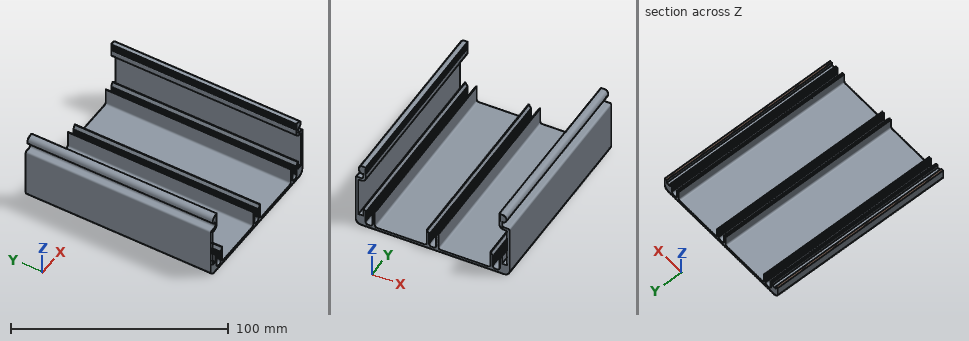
import cadquery as cq
import math

length = 100.0
width = 80.0
height = 35.7

wall = 1.5
corner_radius = 3.0
corner_block_top = 6.0

channel_offset = 33.0
channel_gap = 3.2
rib_top = 10.5
rib_bevel_bottom = 8.5
rib_bevel_angle = 60.0
rib_root_radius = 1.0
rib_groove_count = 6

shoulder_top = 28.4
shoulder_outer_radius = 1.0
shoulder_inner_radius = 0.6
neck_outer_radius = 1.0
bead_radius = 2.3
bead_groove_bottom = 31.0
bead_groove_count = 4

groove_pitch = 1.0
groove_depth = 0.4
groove_arc_width = groove_pitch / 2
groove_arc_height = groove_depth / 2
groove_arc_radius = (groove_arc_width**2 / 4 + groove_arc_height**2) / (2 * groove_arc_height)
groove_arc_half_angle = math.asin(groove_arc_width / 2 / groove_arc_radius)

channel_centers = (-channel_offset, 0, channel_offset)
rib_spread = channel_gap + 2 * wall
rib_bevel_run = (rib_top - rib_bevel_bottom) / math.tan(math.radians(rib_bevel_angle))
rib_groove_bottom = wall + rib_root_radius
inner_wall_x = width / 2 - wall
neck_outer_x = channel_offset + rib_spread / 2
neck_inner_x = neck_outer_x - wall
neck_inner_radius = neck_outer_radius + wall
shoulder_bottom = shoulder_top - wall
bead_center_z = height - bead_radius


def extrude_profile(outline):
    """Close an XZ outline and extrude it along the full length, centred on Y = 0."""
    return outline.close().extrude(length / 2, both=True)


def bar(x_min, x_max, z_min, z_max):
    """Full-length bar with a rectangular section."""
    outline = cq.Workplane("XZ").polyline([(x_min, z_min), (x_max, z_min), (x_max, z_max), (x_min, z_max)])
    return extrude_profile(outline)


def fillet_at(solid, x, z, radius):
    """Round the lengthwise edge that passes through the point (x, z)."""
    reach = 0.01
    selector = cq.selectors.BoxSelector(
        (x - reach, -length, z - reach), (x + reach, length, z + reach)
    )
    return solid.edges(selector).fillet(radius)


def wavy_grooves(face_x, bottom_z, count, inward):
    """Cutter for a stack of grooves in an upright face; `inward` is the X direction into the material."""
    outside_x = face_x - inward * groove_depth
    middle_x = face_x + inward * groove_arc_height
    root_x = face_x + inward * groove_depth
    crest_angle = groove_arc_half_angle / 2
    crest_x = face_x + inward * groove_arc_radius * (1 - math.cos(crest_angle))
    crest_rise = groove_arc_radius * math.sin(crest_angle)

    outline = cq.Workplane("XZ").moveTo(outside_x, bottom_z).lineTo(face_x, bottom_z)
    for index in range(count):
        start_z = bottom_z + index * groove_pitch
        end_z = start_z + groove_pitch
        root_start_z = start_z + groove_arc_width / 2
        root_end_z = end_z - groove_arc_width / 2
        outline = (
            outline.threePointArc((crest_x, start_z + crest_rise), (middle_x, root_start_z))
            .threePointArc((root_x, start_z + groove_pitch / 2), (middle_x, root_end_z))
            .threePointArc((crest_x, end_z - crest_rise), (face_x, end_z))
        )
    return extrude_profile(outline.lineTo(outside_x, bottom_z + count * groove_pitch))


def rib(center_x, side):
    """One rib of a screw channel, beveled at its tip toward the channel."""
    outer_x = center_x + side * rib_spread / 2
    inner_x = center_x + side * channel_gap / 2
    outline = cq.Workplane("XZ").polyline(
        [
            (outer_x, 0),
            (outer_x, rib_top),
            (inner_x + side * rib_bevel_run, rib_top),
            (inner_x, rib_bevel_bottom),
            (inner_x, 0),
        ]
    )
    return extrude_profile(outline)


def side_wall():
    """Right wall with its stepped shoulder and neck."""
    upright = bar(inner_wall_x, width / 2, 0, shoulder_top)
    shoulder = bar(neck_inner_x, width / 2, shoulder_bottom, shoulder_top)
    neck = bar(neck_inner_x, neck_outer_x, shoulder_bottom, bead_center_z)
    solid = upright.union(shoulder).union(neck)
    solid = fillet_at(solid, width / 2, shoulder_top, shoulder_outer_radius)
    solid = fillet_at(solid, inner_wall_x, shoulder_bottom, shoulder_inner_radius)
    solid = fillet_at(solid, neck_outer_x, shoulder_top, neck_outer_radius)
    return fillet_at(solid, neck_inner_x, shoulder_bottom, neck_inner_radius)


def bead():
    """Bead on the right neck: flat toward the inside, half round toward the outside."""
    bead_bottom = height - 2 * bead_radius
    outline = (
        cq.Workplane("XZ")
        .moveTo(neck_inner_x, bead_bottom)
        .lineTo(neck_outer_x, bead_bottom)
        .threePointArc((neck_outer_x + bead_radius, bead_center_z), (neck_outer_x, height))
        .lineTo(neck_inner_x, height)
    )
    return extrude_profile(outline)


floor = bar(-width / 2, width / 2, 0, wall)
corner_block = bar(neck_inner_x, width / 2, 0, corner_block_top)
right_side = side_wall().union(bead()).union(corner_block)
channel = floor.union(right_side).union(right_side.mirror("YZ"))

for center in channel_centers:
    for side in (-1, 1):
        channel = channel.union(rib(center, side))
channel = channel.clean()

for side in (-1, 1):
    channel = fillet_at(channel, side * width / 2, 0, corner_radius)

for center in channel_centers:
    for side in (-1, 1):
        channel = fillet_at(channel, center + side * channel_gap / 2, wall, rib_root_radius)
        outer_x = center + side * rib_spread / 2
        if abs(outer_x) < channel_offset:
            channel = fillet_at(channel, outer_x, wall, rib_root_radius)

for side in (-1, 1):
    for center in channel_centers:
        face_x = center + side * channel_gap / 2
        channel = channel.cut(wavy_grooves(face_x, rib_groove_bottom, rib_groove_count, side))
    channel = channel.cut(wavy_grooves(side * neck_inner_x, bead_groove_bottom, bead_groove_count, side))

result = channel